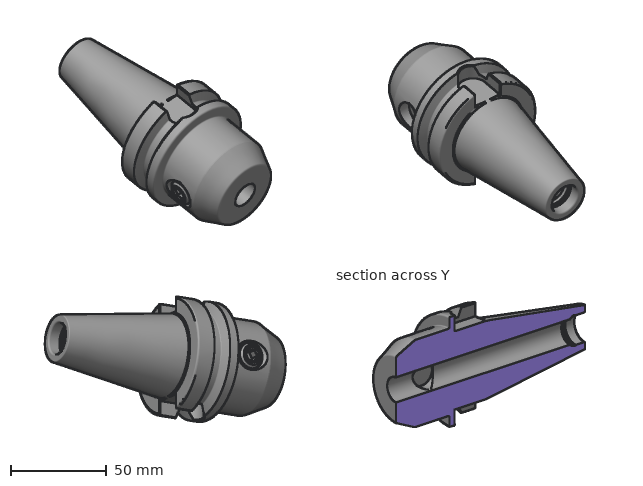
import cadquery as cq
import math

LENGTH = 128.4
TAPER_RATIO = 7 / 24
TAPER_SMALL_RADIUS = 12.7
TAPER_LENGTH = 66.0
TAPER_END_ROUND = 0.6
NECK_ROOT_ROUND = 0.6

FLANGE_RADIUS = 31.52
FLANGE_START = 67.4
FLANGE_END = 92.3
FLANGE_ROUND = 1.0

GROOVE_START = 77.2
GROOVE_END = 86.7
GROOVE_FLOOR_RADIUS = 26.5
GROOVE_WALL_ANGLE = 25.0
GROOVE_CORNER_ROUND = 0.5

NOSE_RADIUS = 25.0
NOSE_CONE_START = 115.4
NOSE_CONE_ANGLE = 25.0
NOSE_CONE_ROUND = 1.5
NOSE_END_ROUND = 1.3
NOSE_ROOT_ROUND = 0.6

PILOT_RADIUS = 8.3
PILOT_END = 8.7
PILOT_MOUTH_ROUND = 1.0
RELIEF_START = 6.7
RELIEF_END = 7.6
RELIEF_DEPTH = 0.3
LEAD_RADIUS = 7.6
LEAD_END = 10.0
BORE_RADIUS = 7.0

SLOT_WIDTH = 15.9
SLOT_FLOOR_HEIGHT = 22.5
SLOT_END = 88.3
SLOT_CHAMFER = 0.5

SCREW_X = 104.3
SCREW_RADIUS = 6.9
SCREW_TOP = 25.0
SCREW_BOTTOM = 8.0
SCREW_CHAMFER = 1.5
COUNTERSINK_RADIUS = 9.1
HEX_ACROSS_FLATS = 6.0
HEX_DEPTH = 6.4
HEX_MOUTH_RADIUS = 4.1

BALANCE_X = 103.5
BALANCE_RADIUS = 7.8
BALANCE_DEPTH = 6.4

EDGE_REACH = 0.06


def revolve_about_x(points):
    return cq.Workplane("XZ").polyline(points).close().revolve(360, (0, 0, 0), (1, 0, 0))


def ring_edges(body, x, radius):
    """Largest circular edges around the X axis at x, out to the given radius."""
    across = radius + EDGE_REACH
    low_corner = (x - EDGE_REACH, -across, -across)
    high_corner = (x + EDGE_REACH, across, across)
    box = cq.selectors.BoxSelector(low_corner, high_corner, True)
    return body.edges(box).edges(cq.selectors.RadiusNthSelector(-1))


def holder_blank():
    taper_end_radius = TAPER_SMALL_RADIUS + TAPER_LENGTH * TAPER_RATIO / 2
    groove_depth = FLANGE_RADIUS - GROOVE_FLOOR_RADIUS
    wall_run = groove_depth * math.tan(math.radians(GROOVE_WALL_ANGLE))
    floor_start = GROOVE_START + wall_run
    floor_end = GROOVE_END - wall_run
    nose_end_radius = NOSE_RADIUS - (LENGTH - NOSE_CONE_START) * math.tan(math.radians(NOSE_CONE_ANGLE))
    blank = revolve_about_x([
        (0, 0),
        (0, TAPER_SMALL_RADIUS),
        (TAPER_LENGTH, taper_end_radius),
        (FLANGE_START, taper_end_radius),
        (FLANGE_START, FLANGE_RADIUS),
        (GROOVE_START, FLANGE_RADIUS),
        (floor_start, GROOVE_FLOOR_RADIUS),
        (floor_end, GROOVE_FLOOR_RADIUS),
        (GROOVE_END, FLANGE_RADIUS),
        (FLANGE_END, FLANGE_RADIUS),
        (FLANGE_END, NOSE_RADIUS),
        (NOSE_CONE_START, NOSE_RADIUS),
        (LENGTH, nose_end_radius),
        (LENGTH, 0),
    ])
    rounds = [
        (0, TAPER_SMALL_RADIUS, TAPER_END_ROUND),
        (FLANGE_START, taper_end_radius, NECK_ROOT_ROUND),
        (FLANGE_START, FLANGE_RADIUS, FLANGE_ROUND),
        (floor_start, GROOVE_FLOOR_RADIUS, GROOVE_CORNER_ROUND),
        (floor_end, GROOVE_FLOOR_RADIUS, GROOVE_CORNER_ROUND),
        (FLANGE_END, FLANGE_RADIUS, FLANGE_ROUND),
        (FLANGE_END, NOSE_RADIUS, NOSE_ROOT_ROUND),
        (NOSE_CONE_START, NOSE_RADIUS, NOSE_CONE_ROUND),
        (LENGTH, nose_end_radius, NOSE_END_ROUND),
    ]
    for x, radius, size in rounds:
        blank = ring_edges(blank, x, radius).fillet(size)
    return blank


def bore():
    """Grooved pilot, two cones and a plain bore out through the nose."""
    relief_radius = PILOT_RADIUS + RELIEF_DEPTH
    bore_start = LEAD_END + LEAD_RADIUS - BORE_RADIUS
    return revolve_about_x([
        (0, 0),
        (0, PILOT_RADIUS),
        (RELIEF_START, PILOT_RADIUS),
        (RELIEF_START, relief_radius),
        (RELIEF_END, relief_radius),
        (RELIEF_END, PILOT_RADIUS),
        (PILOT_END, PILOT_RADIUS),
        (LEAD_END, LEAD_RADIUS),
        (bore_start, BORE_RADIUS),
        (LENGTH, BORE_RADIUS),
        (LENGTH, 0),
    ])


def drive_slot():
    """Round-ended slot above the axis, open towards -X."""
    half_width = SLOT_WIDTH / 2
    return (
        cq.Workplane("XY", origin=(0, 0, SLOT_FLOOR_HEIGHT))
        .moveTo(0, -half_width)
        .lineTo(SLOT_END - half_width, -half_width)
        .threePointArc((SLOT_END, 0), (SLOT_END - half_width, half_width))
        .lineTo(0, half_width)
        .close()
        .extrude(FLANGE_RADIUS)
    )


def slot_rim_edges(body):
    """Edges where the slots meet the outside and the front face of the flange."""
    def on_rim(edge):
        in_slot = abs(edge.Center().y) < SLOT_WIDTH / 2 + EDGE_REACH
        ends = [vertex.Center() for vertex in edge.Vertices()]
        on_outside = all(abs(math.hypot(end.y, end.z) - FLANGE_RADIUS) < EDGE_REACH for end in ends)
        on_face = all(abs(end.x - FLANGE_START) < EDGE_REACH for end in ends)
        return in_slot and (on_outside or (on_face and edge.geomType() == "LINE"))

    return body.newObject([edge for edge in body.edges().vals() if on_rim(edge)])


def radial_workplane(x, side):
    """Plane on the axis at x, facing +Y (side 1) or -Y (side -1)."""
    return cq.Workplane(cq.Plane(origin=(x, 0, 0), xDir=(1, 0, 0), normal=(0, side, 0)))


def screw_cone(base_radius, base_height):
    """45 degree cone on the screw axis, narrowing from its base towards the holder axis."""
    base_center = cq.Vector(SCREW_X, -base_height, 0)
    return cq.Solid.makeCone(base_radius, 0, base_radius, base_center, cq.Vector(0, 1, 0))


def screw_hole():
    hole = radial_workplane(SCREW_X, -1).circle(SCREW_RADIUS).extrude(FLANGE_RADIUS)
    return hole.union(screw_cone(COUNTERSINK_RADIUS, NOSE_RADIUS))


def balance_hole():
    return (
        radial_workplane(BALANCE_X, 1)
        .workplane(offset=NOSE_RADIUS - BALANCE_DEPTH)
        .circle(BALANCE_RADIUS)
        .extrude(FLANGE_RADIUS)
    )


def make_holder():
    holder = holder_blank().cut(bore())
    holder = ring_edges(holder, 0, PILOT_RADIUS).fillet(PILOT_MOUTH_ROUND)
    for turn in (0, 180):
        holder = holder.cut(drive_slot().rotate((0, 0, 0), (1, 0, 0), turn))
    holder = slot_rim_edges(holder).chamfer(SLOT_CHAMFER)
    return holder.cut(screw_hole()).cut(balance_hole())


def make_screw():
    screw = (
        radial_workplane(SCREW_X, -1)
        .workplane(offset=SCREW_BOTTOM)
        .circle(SCREW_RADIUS)
        .extrude(SCREW_TOP - SCREW_BOTTOM)
        .faces("<Y")
        .chamfer(SCREW_CHAMFER)
    )
    hex_corner_radius = HEX_ACROSS_FLATS / math.sqrt(3)
    socket = (
        radial_workplane(SCREW_X, -1)
        .workplane(offset=SCREW_TOP - HEX_DEPTH)
        .polygon(6, 2 * hex_corner_radius)
        .extrude(HEX_DEPTH)
    )
    return screw.cut(socket).cut(screw_cone(HEX_MOUTH_RADIUS, SCREW_TOP))


holder = make_holder()
screw = make_screw()
result = cq.Compound.makeCompound([holder.val(), screw.val()])